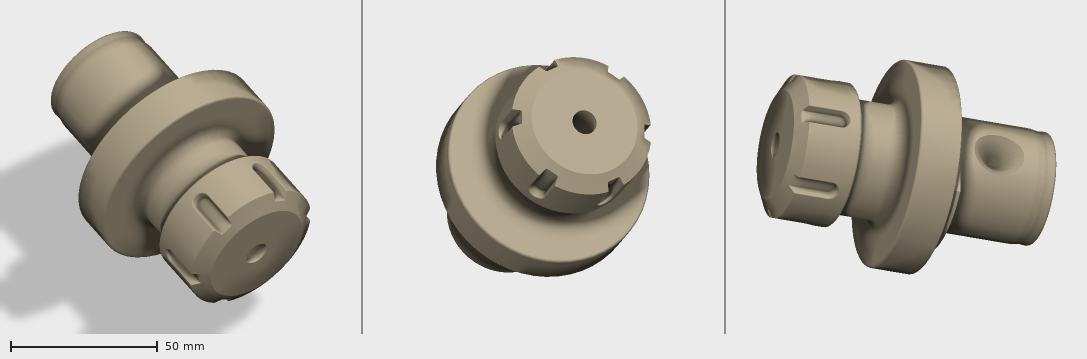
import cadquery as cq
import math

bore_radius = 4.3
bore_chamfer = 0.5

shank_radius = 20.0
shank_end_x = -40.0
nose_fillet = 1.0
waist_x = -36.5
waist_radius = 19.45
waist_slope = math.radians(6)
shank_start_x = -33.1

seat_x = -19.0
seat_radius = 9.0

collar_radius = 27.75
collar_face_x = -4.5
collar_edge_x = -1.9
flat_offset = 21.0
flat_end_x = -0.25

collar_relief_fillet = 1.1
collar_relief_slope = math.radians(8)
collar_relief_depth = 0.45
collar_relief_height = 1.8
shank_relief_depth = 0.2
shank_relief_fillet = 0.8
shank_relief_x = -6.4
shank_relief_slope = math.radians(15)

flange_radius = 36.0
flange_seat_x = 0.15
flange_rear_x = 14.85
flange_seat_chamfer = 0.3
flange_rear_fillet = 0.85
neck_radius = shank_radius
neck_fillet = 3.1

nut_radius = 25.0
nut_start_x = 32.5
nut_end_x = 55.0
nut_chamfer = 0.5
nut_cone_length = 3.5
nut_cone_angle = math.radians(60)
nut_cone_drop = nut_cone_length * math.tan(nut_cone_angle)

slot_count = 6
slot_floor_radius = 21.9
slot_half_width = 2.4
slot_round_x = 39.9
slot_wall_draft = 15.0
slot_floor_fillet = 0.3
slot_rim_fillet = 0.3


def make_holder_profile():
    """Half section of the holder, with X along the axis and Y as the radius."""
    nose_edge_x = shank_end_x + nose_fillet * (1 + math.sin(waist_slope))
    nose_edge_radius = waist_radius + (waist_x - nose_edge_x) * math.tan(waist_slope)
    nose_center_radius = nose_edge_radius - nose_fillet * math.cos(waist_slope)

    collar_relief_radius = collar_radius - collar_relief_depth
    collar_relief_top = collar_radius + collar_relief_height
    collar_arc_top = collar_relief_radius + collar_relief_fillet
    collar_floor_x = flange_seat_x + (collar_relief_top - collar_arc_top) * math.tan(collar_relief_slope)
    collar_arc_center_x = collar_floor_x - collar_relief_fillet

    shank_groove_radius = shank_radius - shank_relief_depth
    shank_arc_top = shank_groove_radius + shank_relief_fillet
    shank_arc_center_x = collar_face_x - shank_relief_fillet
    shank_groove_x = shank_relief_x + shank_relief_depth / math.tan(shank_relief_slope)

    diagonal = math.sqrt(0.5)
    return (
        cq.Workplane("XY")
        .moveTo(shank_end_x, bore_radius + bore_chamfer)
        .lineTo(shank_end_x, nose_center_radius)
        .radiusArc((nose_edge_x, nose_edge_radius), nose_fillet)
        .lineTo(waist_x, waist_radius)
        .lineTo(shank_start_x, shank_radius)
        .lineTo(shank_relief_x, shank_radius)
        .lineTo(shank_groove_x, shank_groove_radius)
        .lineTo(shank_arc_center_x, shank_groove_radius)
        .threePointArc(
            (
                shank_arc_center_x + shank_relief_fillet * diagonal,
                shank_arc_top - shank_relief_fillet * diagonal,
            ),
            (collar_face_x, shank_arc_top),
        )
        .lineTo(collar_face_x, collar_radius)
        .lineTo(collar_edge_x, collar_radius)
        .lineTo(collar_arc_center_x, collar_relief_radius)
        .threePointArc(
            (
                collar_arc_center_x + collar_relief_fillet * diagonal,
                collar_arc_top - collar_relief_fillet * diagonal,
            ),
            (collar_floor_x, collar_arc_top),
        )
        .lineTo(flange_seat_x, collar_relief_top)
        .lineTo(flange_seat_x, flange_radius - flange_seat_chamfer)
        .lineTo(flange_seat_x + flange_seat_chamfer, flange_radius)
        .lineTo(flange_rear_x - flange_rear_fillet, flange_radius)
        .radiusArc((flange_rear_x, flange_radius - flange_rear_fillet), flange_rear_fillet)
        .lineTo(flange_rear_x, neck_radius + neck_fillet)
        .radiusArc((flange_rear_x + neck_fillet, neck_radius), -neck_fillet)
        .lineTo(nut_start_x, neck_radius)
        .lineTo(nut_start_x, bore_radius)
        .lineTo(shank_end_x + bore_chamfer, bore_radius)
        .close()
    )


def revolve_about_x(profile):
    return profile.revolve(360, (0, 0, 0), (1, 0, 0))


def make_clamping_seat():
    """Cone with its tip pointing to the axis and its rim at the shank surface, run on outwards."""
    overrun = 2.0
    cone_height = seat_radius + overrun
    tip_y = shank_radius - seat_radius
    cone = cq.Solid.makeCone(
        0, cone_height, cone_height, pnt=cq.Vector(seat_x, tip_y, 0), dir=cq.Vector(0, 1, 0)
    )
    return cq.Workplane(obj=cone)


def make_holder():
    holder = revolve_about_x(make_holder_profile())
    flat_length = flat_end_x - collar_face_x
    flat_depth = collar_radius - flat_offset
    for side in (-1, 1):
        flat_cut = cq.Workplane("XY").box(flat_length, flat_depth, 2 * collar_radius).translate(
            (collar_face_x + flat_length / 2, side * (flat_offset + flat_depth / 2), 0)
        )
        holder = holder.cut(flat_cut)
    return holder.cut(make_clamping_seat())


def make_slot_cutter():
    """Round-ended slot with drafted walls, facing -Y and open towards the nut's front end."""
    overrun = 2.0
    cut_height = nut_radius + overrun - slot_floor_radius
    slot_length = nut_end_x + 2 * nut_radius - slot_round_x
    return (
        cq.Workplane("XZ", origin=(0, -slot_floor_radius, 0))
        .center(slot_round_x + slot_length / 2, 0)
        .slot2D(slot_length + 2 * slot_half_width, 2 * slot_half_width)
        .extrude(cut_height, taper=-slot_wall_draft)
        .faces(">Y")
        .edges()
        .fillet(slot_floor_fillet)
    )


def find_slot_rims(nut):
    """Edges where the slot walls break through the cylinder of the nut."""
    slot_start_x = slot_round_x - 2 * slot_half_width
    rims = []
    for face in nut.faces("%CYLINDER").vals():
        wraps_nut = face.BoundingBox().ylen > nut_radius
        for edge in face.Edges():
            box = edge.BoundingBox()
            in_slot_range = box.xmin > slot_start_x and box.xmax < nut_end_x
            runs_along_axis = box.xlen > nut_chamfer
            if wraps_nut and in_slot_range and runs_along_axis:
                rims.append(edge)
    return rims


def make_nut():
    profile = (
        cq.Workplane("XY")
        .moveTo(nut_start_x, bore_radius)
        .lineTo(nut_start_x, nut_radius - nut_chamfer)
        .lineTo(nut_start_x + nut_chamfer, nut_radius)
        .lineTo(nut_end_x - nut_cone_length, nut_radius)
        .lineTo(nut_end_x, nut_radius - nut_cone_drop)
        .lineTo(nut_end_x, bore_radius)
        .close()
    )
    nut = revolve_about_x(profile).rotate((0, 0, 0), (1, 0, 0), 90)
    cutter = make_slot_cutter()
    for index in range(slot_count):
        nut = nut.cut(cutter.rotate((0, 0, 0), (1, 0, 0), index * 360 / slot_count))
    return nut.newObject(find_slot_rims(nut)).fillet(slot_rim_fillet)


holder = make_holder()
nut = make_nut()
result = cq.Compound.makeCompound([holder.val(), nut.val()])